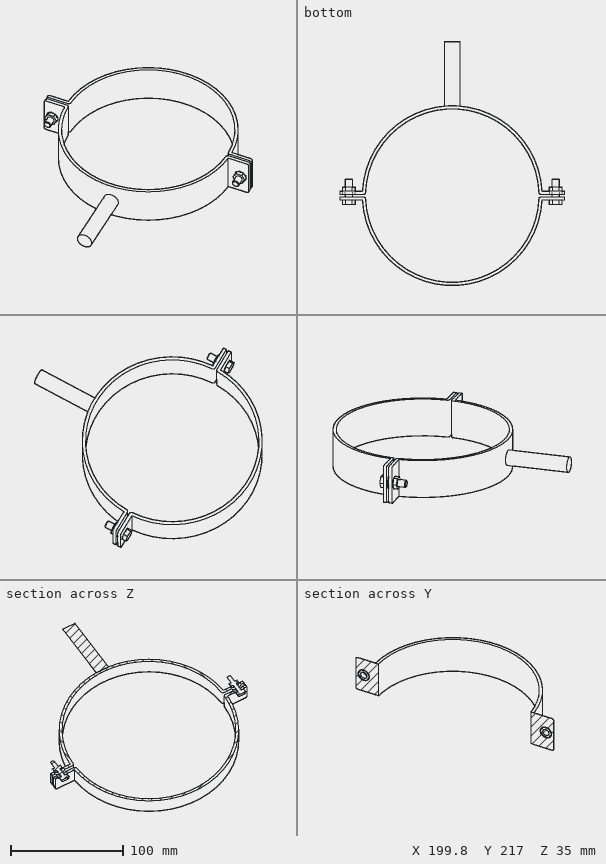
import cadquery as cq
import math

band_outer_diameter = 160.0
band_thickness = 3.0
band_height = 35.0
outer_radius = band_outer_diameter / 2
inner_radius = outer_radius - band_thickness

half_gap = 1.0
flange_back = half_gap + band_thickness
flange_tip = 99.9
flange_corner_radius = 2.0
bend_radius = 2.0

bolt_edge_distance = 8.0
bolt_offset = flange_tip - bolt_edge_distance
bolt_diameter = 6.5
bolt_hole_diameter = 11.0
bolt_length = 19.0
bolt_end_y = flange_back - bolt_length
bolt_end_chamfer = 0.6
hex_across_flats = 10.0
hex_across_corners = hex_across_flats / math.cos(math.pi / 6)
head_height = 4.0
nut_height = 3.5

rod_diameter = 14.0
rod_length = 57.0


def cylinder_along_y(diameter, y_start, y_end, x=0.0):
    """Cylinder parallel to Y at height Z = 0, from y_start up to y_end."""
    profile = cq.Workplane("XZ", origin=(x, y_end, 0)).circle(diameter / 2)
    return profile.extrude(y_end - y_start)


def hexagon_along_y(height, y_start, x):
    """Hexagonal prism parallel to Y, with two corners pointing along X."""
    profile = cq.Workplane("XZ", origin=(x, y_start + height, 0)).polygon(6, hex_across_corners)
    return profile.extrude(height)


def make_half_band():
    """Half band on the +Y side, with a drilled flange at each end."""
    inner_end = math.sqrt(inner_radius**2 - half_gap**2)
    outer_end = math.sqrt(outer_radius**2 - flange_back**2)
    half = (
        cq.Workplane("XY", origin=(0, 0, -band_height / 2))
        .moveTo(-flange_tip, half_gap)
        .lineTo(-inner_end, half_gap)
        .threePointArc((0, inner_radius), (inner_end, half_gap))
        .lineTo(flange_tip, half_gap)
        .lineTo(flange_tip, flange_back)
        .lineTo(outer_end, flange_back)
        .threePointArc((0, outer_radius), (-outer_end, flange_back))
        .lineTo(-flange_tip, flange_back)
        .close()
        .extrude(band_height)
    )
    for side in (-1, 1):
        gap_bend = cq.selectors.NearestToPointSelector((side * inner_end, half_gap, 0))
        half = half.edges(gap_bend).fillet(bend_radius)
    half = half.faces("<X or >X").edges("|Y").fillet(flange_corner_radius)
    for side in (-1, 1):
        bolt_hole = cylinder_along_y(bolt_hole_diameter, half_gap, flange_back, side * bolt_offset)
        half = half.cut(bolt_hole)
    return half


def make_bolt(x):
    """Bolt with its nut, the head on the +Y flange and the nut on the -Y flange."""
    shank = cylinder_along_y(bolt_diameter, bolt_end_y, flange_back, x)
    shank = shank.faces("<Y").chamfer(bolt_end_chamfer)
    head = hexagon_along_y(head_height, flange_back, x)
    nut = hexagon_along_y(nut_height, -flange_back - nut_height, x)
    return shank.union(head).union(nut)


def make_rod():
    """Round rod along -Y, its inner end shaped to the outside of the band."""
    rod = cylinder_along_y(rod_diameter, -outer_radius - rod_length, -inner_radius)
    band_space = cq.Workplane("XY").circle(outer_radius).extrude(band_height / 2, both=True)
    return rod.cut(band_space)


rear_half_band = make_half_band()
front_half_band = rear_half_band.mirror("XZ")
rod = make_rod()
bolts = [make_bolt(side * bolt_offset) for side in (-1, 1)]

result = cq.Compound.makeCompound(
    [
        rear_half_band.val(),
        front_half_band.val(),
        rod.val(),
        *[bolt.val() for bolt in bolts],
    ]
)